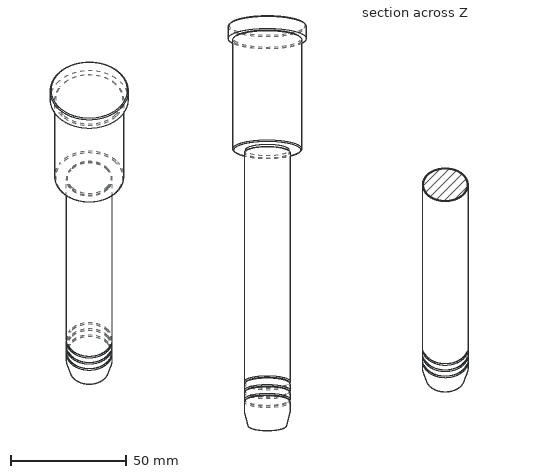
import cadquery as cq

total_length = 180.0

head_diameter = 34.0
head_thickness = 6.0
head_chamfer = 0.5
sleeve_diameter = 30.0
sleeve_end = 56.0
sleeve_chamfer = 0.5

pin_diameter = 20.0
neck_diameter = 19.0
neck_length = 1.0

groove_count = 3
groove_depth = 0.5
first_groove_height = 11.5
groove_pitch = 4.0

tip_height = 6.5
tip_diameter = 16.7
tip_edge_radius = 0.5


def cylinder(diameter, bottom, top):
    """Solid cylinder on the Z axis between two heights."""
    return cq.Workplane("XY").workplane(offset=bottom).circle(diameter / 2).extrude(top - bottom)


def v_groove_cut(middle_height):
    """Ring cutter with a triangular section whose point reaches the groove bottom."""
    surface_radius = pin_diameter / 2
    section = [
        (surface_radius - groove_depth, middle_height),
        (surface_radius, middle_height + groove_depth),
        (surface_radius, middle_height - groove_depth),
    ]
    return cq.Workplane("XZ").polyline(section).close().revolve(360, (0, 0), (0, 1))


def make_tip():
    """Truncated cone that leads into the pin, with a rounded lower edge."""
    cone = (
        cq.Workplane("XY")
        .circle(tip_diameter / 2)
        .workplane(offset=tip_height)
        .circle(pin_diameter / 2)
        .loft(ruled=True)
    )
    return cone.faces("<Z").fillet(tip_edge_radius)


sleeve_bottom = total_length - sleeve_end
head_bottom = total_length - head_thickness

head = cylinder(head_diameter, head_bottom, total_length).faces(">Z").chamfer(head_chamfer)
sleeve = cylinder(sleeve_diameter, sleeve_bottom, head_bottom).faces("<Z or >Z").chamfer(sleeve_chamfer)

neck_bottom = sleeve_bottom - neck_length
neck = cylinder(neck_diameter, neck_bottom, sleeve_bottom)
pin = cylinder(pin_diameter, tip_height, neck_bottom)

for index in range(groove_count):
    pin = pin.cut(v_groove_cut(first_groove_height + index * groove_pitch))

result = head.union(sleeve).union(neck).union(pin).union(make_tip())